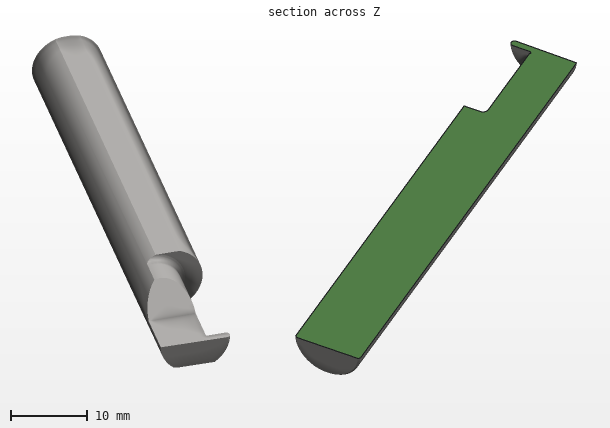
import cadquery as cq
import math

overall_length = 63.5
shank_radius = 9.525 / 2
shank_length = 49.4
rear_chamfer = 0.25
flat_height = 4.4775

neck_radius = 3.81
neck_side = 1.62
neck_axis_y = neck_side - neck_radius
shoulder_fillet = 0.76

rake_height = 0.0
ramp_end = 57.42

tooth_width = 1.04
tooth_corner_radius = 0.51
tooth_reach = 4.7
end_side_angle = 1.0
end_relief_angle = 2.0

margin = 2.0
beyond = 2 * shank_radius + margin
stock_length = overall_length + margin


def make_shank():
    """Round bar with a chamfered rear end and a clamping flat on top."""
    bar = cq.Workplane("YZ").circle(shank_radius).extrude(stock_length)
    bar = bar.faces("<X").chamfer(rear_chamfer)
    below_flat = cq.Workplane("XY").box(stock_length, 2 * beyond, beyond + flat_height, (False, True, False))
    return bar.intersect(below_flat.translate((0, 0, -beyond)))


def make_neck_envelope():
    """Off-centre turned shape: full size over the shank, then a filleted step down to the neck."""
    neck_start = shank_length + shoulder_fillet
    arc_inset = shoulder_fillet * (1 - math.sqrt(0.5))
    profile = (
        cq.Workplane("XY")
        .moveTo(0, 0)
        .lineTo(0, -beyond)
        .lineTo(shank_length, -beyond)
        .lineTo(shank_length, -neck_radius - shoulder_fillet)
        .threePointArc(
            (shank_length + arc_inset, -neck_radius - arc_inset),
            (neck_start, -neck_radius),
        )
        .lineTo(stock_length, -neck_radius)
        .lineTo(stock_length, 0)
        .close()
    )
    return profile.revolve(360, (0, 0, 0), (1, 0, 0)).translate((0, neck_axis_y, 0))


def make_ramp_cutter():
    """Material above the cutting face and its 45 degree run-out ramp."""
    height = beyond - rake_height
    return (
        cq.Workplane("XZ")
        .moveTo(ramp_end, rake_height)
        .lineTo(stock_length + margin, rake_height)
        .lineTo(stock_length + margin, beyond)
        .lineTo(ramp_end - height, beyond)
        .close()
        .extrude(beyond, both=True)
    )


def make_tooth():
    """Round-cornered tooth, its crest curving about the shank axis down to the neck's underside."""
    disc = cq.Workplane("YZ").circle(tooth_reach).extrude(tooth_width)
    disc = disc.edges().fillet(tooth_corner_radius)
    blank_height = rake_height + neck_radius
    blank = cq.Workplane("XY").box(tooth_width, beyond, blank_height, centered=False)
    blank = blank.translate((0, neck_axis_y, -neck_radius))
    return disc.intersect(blank).translate((overall_length - tooth_width, 0, 0))


def make_end_cutter():
    """Block whose rear face is the front end, relieved from the tooth's leading corner."""
    corner = (overall_length, tooth_reach - tooth_corner_radius, rake_height)
    normal = (
        1,
        -math.tan(math.radians(end_side_angle)),
        -math.tan(math.radians(end_relief_angle)),
    )
    plane = cq.Plane(origin=corner, xDir=(0, 1, 0), normal=normal)
    return cq.Workplane(plane).rect(4 * beyond, 4 * beyond).extrude(beyond)


body = make_shank().intersect(make_neck_envelope())
body = body.cut(make_ramp_cutter())
body = body.union(make_tooth())
result = body.cut(make_end_cutter()).solids()